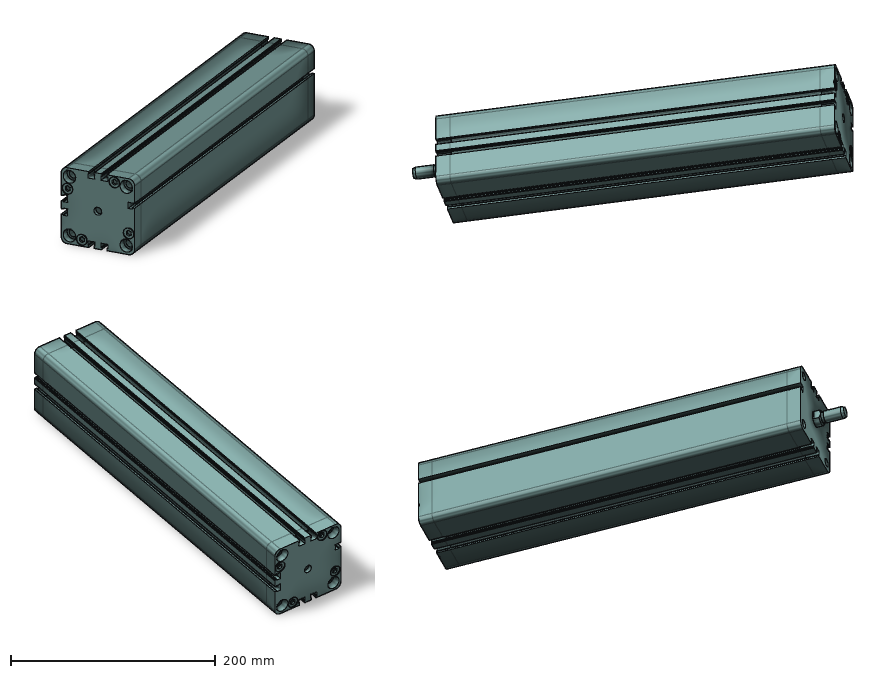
import cadquery as cq
import math


total_length = 431.5
side = 80.0
half_side = side / 2
corner_radius = 6.5
cap_length = 14.2

rod_projection = 31.5
housing_length = total_length - rod_projection
rod_diameter = 16.0
rod_end = 7.8
rod_chamfer = 1.5
rod_flats_width = 13.0
rod_flats_start = 1.5
thread_diameter = 12.0
thread_chamfer_length = 3.0
thread_tip_diameter = 10.0
neck_diameter = 10.5
neck_length = 2.5

slot_outer_edge = 10.0
slot_inner_edge = 4.5
undercut_outer_edge = 11.0
undercut_inner_edge = 3.5
lip_thickness = 2.5
lip_z = half_side - lip_thickness
body_slot_depth = 5.0
cap_slot_depth = 7.0
undercut_rounding = 1.0
web_chamfer = 0.65
single_slot_top = 15.0
single_slot_lip = 10.0
single_slot_bottom = 8.5

mount_pitch = 61.5
mount_offset = mount_pitch / 2
mount_diameter = 8.5
mount_counterbore_diameter = 13.5
mount_counterbore_depth = 8.5

screw_side_offset = 17.5
screw_edge_offset = 33.2
screw_recess_diameter = 11.2
screw_recess_depth = 1.0
socket_width = 5.0
socket_depth = 2.5

center_hole_diameter = 8.0
center_hole_depth = 4.5


def front_plane():
    """Front cap face plane, with local axes X, Z and -Y; negative extrusions run along +Y."""
    return cq.Workplane("XZ")


def channel(x_limits, z_limits, length):
    """Straight block along Y between (low, high) limits in X and Z."""
    width = x_limits[1] - x_limits[0]
    height = z_limits[1] - z_limits[0]
    block = cq.Workplane("XY").box(width, length, height, centered=False)
    return block.translate((x_limits[0], 0, z_limits[0]))


def slot(mouth, undercut, depth, length):
    """Slot in the +Z side, from (low, high) X limits of its mouth and undercut."""
    opening = channel(mouth, (lip_z, half_side), length)
    return opening.union(channel(undercut, (half_side - depth, lip_z), length))


def paired_slot(depth, length):
    """Slot on the +X side of the middle web, with a chamfered web edge and a rounded outer floor corner."""
    opening = channel((slot_inner_edge - web_chamfer, slot_outer_edge), (lip_z, half_side), length)
    web = channel((0, slot_inner_edge), (lip_z, half_side), length)
    opening = opening.cut(web.edges("|Y and >X and >Z").chamfer(web_chamfer))
    undercut = channel((undercut_inner_edge, undercut_outer_edge), (half_side - depth, lip_z), length)
    return opening.union(undercut.edges("|Y and >X and <Z").fillet(undercut_rounding))


def turned(shape, angle):
    """Turn a shape about the cylinder axis."""
    return shape.rotate((0, 0, 0), (0, 1, 0), angle)


def housing_section(length, slot_depth):
    """Square profile with two slots on three sides and one slot on the +X side."""
    section = front_plane().rect(side, side).extrude(-length).edges("|Y").fillet(corner_radius)
    right_slot = paired_slot(slot_depth, length)
    left_slot = right_slot.mirror("YZ")
    for angle in (0, 180, -90):
        section = section.cut(turned(right_slot, angle)).cut(turned(left_slot, angle))
    single_slot = slot(
        (-single_slot_top, -single_slot_lip), (-single_slot_top, -single_slot_bottom), slot_depth, length
    )
    return section.cut(turned(single_slot, 90))


def piston_rod():
    """Rod end with two flats, neck and chamfered thread, starting at Y = 0."""
    rod_radius = rod_diameter / 2
    thread_radius = thread_diameter / 2
    neck_radius = neck_diameter / 2
    neck_end = rod_end + neck_length
    half_section = [
        (0, 0),
        (rod_radius, 0),
        (rod_radius, rod_end - rod_chamfer),
        (rod_radius - rod_chamfer, rod_end),
        (neck_radius, rod_end),
        (neck_radius, neck_end),
        (thread_radius, neck_end),
        (thread_radius, rod_projection - thread_chamfer_length),
        (thread_tip_diameter / 2, rod_projection),
        (0, rod_projection),
    ]
    rod = cq.Workplane("XY").polyline(half_section).close().revolve(360, (0, 0, 0), (0, 1, 0))
    flat_cut = channel(
        (rod_flats_width / 2, rod_diameter), (-rod_radius, rod_radius), rod_end - rod_flats_start
    ).translate((0, rod_flats_start, 0))
    return rod.cut(flat_cut).cut(flat_cut.mirror("YZ"))


def round_holes(points, diameter, depth):
    """Cutters for round holes that start at the front cap face, at (X, Z) points."""
    return front_plane().pushPoints(points).circle(diameter / 2).extrude(-depth)


front_cap = housing_section(cap_length, cap_slot_depth)
body = housing_section(housing_length - 2 * cap_length, body_slot_depth).translate((0, cap_length, 0))
rear_cap = front_cap.translate((0, housing_length - cap_length, 0))
rod = piston_rod().translate((0, housing_length, 0))
result = front_cap.union(body, clean=False).union(rear_cap, clean=False).union(rod, clean=False)

mount_points = [(x, z) for x in (-mount_offset, mount_offset) for z in (-mount_offset, mount_offset)]
mount_holes = round_holes(mount_points, mount_diameter, housing_length)
counterbores = round_holes(mount_points, mount_counterbore_diameter, mount_counterbore_depth)
result = result.cut(mount_holes, clean=False).cut(counterbores, clean=False)

screw_points = [
    (screw_side_offset, screw_edge_offset),
    (screw_edge_offset, -screw_side_offset),
    (-screw_side_offset, -screw_edge_offset),
    (-screw_edge_offset, screw_side_offset),
]
screw_recesses = round_holes(screw_points, screw_recess_diameter, screw_recess_depth)
result = result.cut(screw_recesses, clean=False)
socket_corner_diameter = socket_width / math.cos(math.pi / 6)
socket_bottom = screw_recess_depth + socket_depth
for x, z in screw_points:
    socket = front_plane().polygon(6, socket_corner_diameter).extrude(-socket_bottom)
    socket = turned(socket, 30).translate((x, 0, z))
    result = result.cut(socket, clean=False)

center_hole = round_holes([(0, 0)], center_hole_diameter, center_hole_depth)
result = result.cut(center_hole, clean=False)